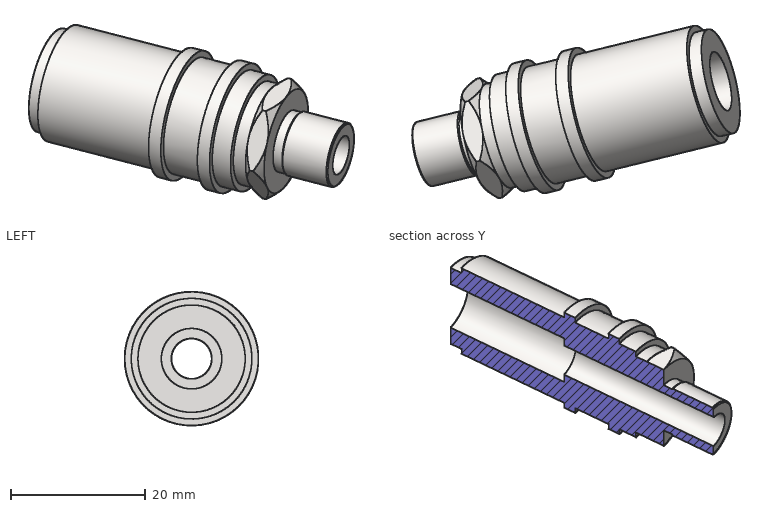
import cadquery as cq
import math

total_length = 47.5
flange_diameter = 20.0
step_height = 1.0

body_diameter = flange_diameter - 2 * step_height
nose_diameter = body_diameter - 2 * step_height
nose_length = 1.95
body_end = 33.5
flange_width = 2.0
first_flange_start = 20.5
second_flange_start = 28.5

nut_start = 35.5
nut_width = 3.05
nut_end = nut_start + nut_width
across_flats = nose_diameter
across_corners = across_flats / math.cos(math.pi / 6)

spigot_diameter = 9.95
spigot_chamfer = 0.2
neck_diameter = spigot_diameter - 2 * spigot_chamfer
neck_end = 40.0

socket_diameter = 9.02
socket_depth = first_flange_start
through_diameter = 6.0


def cylinder(start, end, diameter):
    """Solid cylinder on the X axis between two stations."""
    return cq.Workplane("YZ", origin=(start, 0, 0)).circle(diameter / 2).extrude(end - start)


def hex_nut():
    """Hexagon with corners on +Y and -Y, its corners turned down at 45 degrees on both faces."""
    hexagon = cq.Workplane("YZ", origin=(nut_start, 0, 0)).polygon(6, across_corners).extrude(nut_width)
    corner_height = (across_corners - across_flats) / 2
    turned_blank = cylinder(nut_start, nut_end, across_corners).edges().chamfer(corner_height)
    return hexagon.intersect(turned_blank)


def rear_spigot():
    """Spigot with both ends chamfered, joined to the nut by a narrower neck."""
    spigot = cylinder(neck_end, total_length, spigot_diameter).edges().chamfer(spigot_chamfer)
    return spigot.union(cylinder(nut_end, neck_end, neck_diameter))


result = cylinder(0, nut_start, nose_diameter)
result = result.union(cylinder(nose_length, body_end, body_diameter))
for flange_start in (first_flange_start, second_flange_start):
    result = result.union(cylinder(flange_start, flange_start + flange_width, flange_diameter))

result = result.union(hex_nut())
result = result.union(rear_spigot())

result = result.cut(cylinder(0, socket_depth, socket_diameter))
result = result.cut(cylinder(0, total_length, through_diameter))